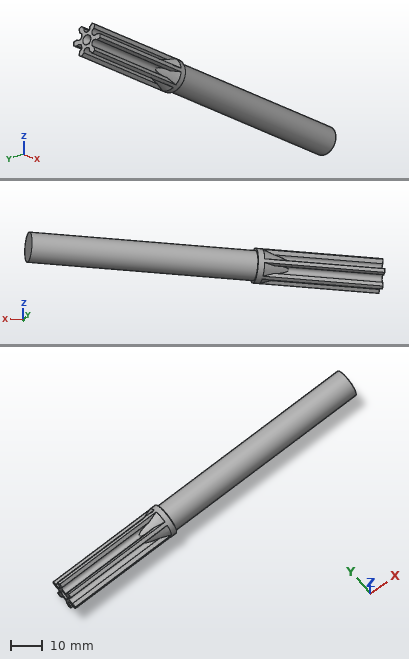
import cadquery as cq
import math

total_length = 114.5
head_diameter = 11.1
head_length = 41.1
shank_diameter = 9.6

flute_count = 6
flute_width = 2.4
flare_start = 4.1
land_width = 1.3
core_radius = 2.6
runout_start = 30.5
flute_end = 39.0

center_diameter = 3.3
center_angle = 60.0

head_radius = head_diameter / 2
half_pitch = math.pi / flute_count


def x_cylinder(start, length, diameter):
    return cq.Workplane("YZ", origin=(start, 0, 0)).circle(diameter / 2).extrude(length)


def blade_side_point(reach, offset):
    """Point on a blade flank: reach along the blade, offset toward the flute at +Z."""
    y = reach * math.sin(half_pitch) - offset * math.cos(half_pitch)
    z = reach * math.cos(half_pitch) + offset * math.sin(half_pitch)
    return y, z


def flute_cutter():
    """U-shaped channel pointing along +Z, flaring out to the blade lands."""
    half_slot = flute_width / 2
    half_land = land_width / 2
    arc_center = core_radius + half_slot
    land_y, land_z = blade_side_point(head_radius, half_land)
    top_y, top_z = blade_side_point(head_diameter, half_land)
    return (
        cq.Workplane("YZ")
        .moveTo(-top_y, top_z)
        .lineTo(-land_y, land_z)
        .lineTo(-half_slot, flare_start)
        .lineTo(-half_slot, arc_center)
        .threePointArc((0, core_radius), (half_slot, arc_center))
        .lineTo(half_slot, flare_start)
        .lineTo(land_y, land_z)
        .lineTo(top_y, top_z)
        .close()
        .extrude(flute_end)
    )


def runout_cone():
    """Core that widens to the head diameter, ending the flutes in a ramp."""
    return (
        cq.Workplane("XZ")
        .moveTo(runout_start, 0)
        .lineTo(runout_start, core_radius)
        .lineTo(flute_end, head_radius)
        .lineTo(flute_end, 0)
        .close()
        .revolve(360, (0, 0, 0), (1, 0, 0))
    )


def center_hole():
    radius = center_diameter / 2
    depth = radius / math.tan(math.radians(center_angle / 2))
    return (
        cq.Workplane("XZ")
        .polyline([(0, 0), (0, radius), (depth, 0)])
        .close()
        .revolve(360, (0, 0, 0), (1, 0, 0))
    )


head = x_cylinder(0, head_length, head_diameter)
shank = x_cylinder(head_length, total_length - head_length, shank_diameter)

cutter = flute_cutter().cut(runout_cone())
for index in range(flute_count):
    angle = index * 360 / flute_count
    head = head.cut(cutter.rotate((0, 0, 0), (1, 0, 0), angle))

result = head.union(shank).cut(center_hole())